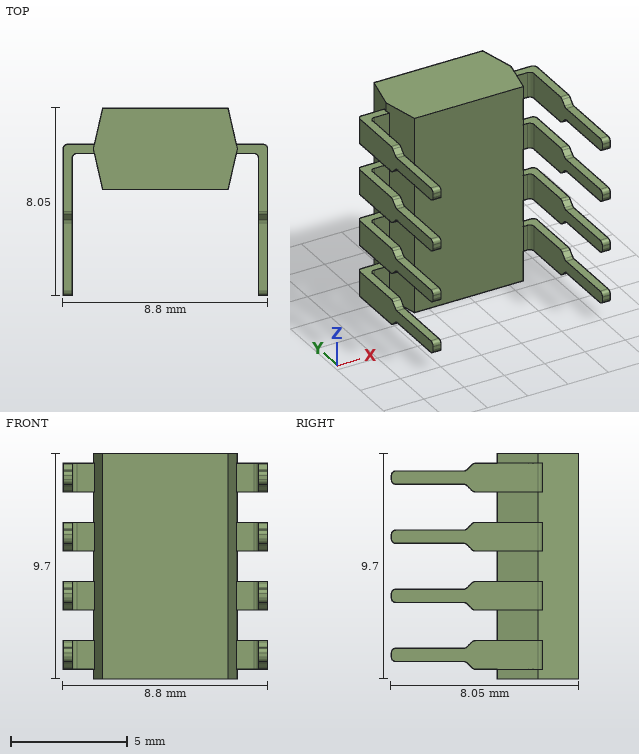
import cadquery as cq

body_length = 9.7
body_waist_width = 6.2
body_face_width = 5.4
body_depth = 3.5

leads_per_side = 4
lead_pitch = 2.54
lead_span = 8.8
lead_thickness = 0.4
lead_drop = 6.5
bend_radius = 0.2
shoulder_width = 1.24
pin_width = 0.58
pin_length = 3.2
edge_radius = 0.2
embed_depth = 0.5

lead_outer_x = lead_span / 2
lead_inner_x = lead_outer_x - lead_thickness
lead_root_x = body_waist_width / 2 - embed_depth
lead_top_y = lead_thickness / 2
lead_under_y = lead_top_y - lead_thickness
lead_tip_y = lead_top_y - lead_drop
taper_end_y = lead_tip_y + pin_length
taper_start_y = taper_end_y + (shoulder_width - pin_width) / 2


def make_body():
    half_depth = body_depth / 2
    half_face = body_face_width / 2
    half_waist = body_waist_width / 2
    section = [
        (-half_face, half_depth),
        (half_face, half_depth),
        (half_waist, 0),
        (half_face, -half_depth),
        (-half_face, -half_depth),
        (-half_waist, 0),
    ]
    return (
        cq.Workplane("XY")
        .polyline(section)
        .close()
        .extrude(body_length / 2, both=True)
    )


def make_bent_strip():
    """L-shaped strip on the +X side at full shoulder width, rounded inside and outside the bend."""
    section = [
        (lead_root_x, lead_top_y),
        (lead_outer_x, lead_top_y),
        (lead_outer_x, lead_tip_y),
        (lead_inner_x, lead_tip_y),
        (lead_inner_x, lead_under_y),
        (lead_root_x, lead_under_y),
    ]
    outer_corner = cq.selectors.NearestToPointSelector((lead_outer_x, lead_top_y, 0))
    inner_corner = cq.selectors.NearestToPointSelector((lead_inner_x, lead_under_y, 0))
    return (
        cq.Workplane("XY")
        .polyline(section)
        .close()
        .extrude(shoulder_width / 2, both=True)
        .edges(outer_corner)
        .fillet(bend_radius)
        .edges(inner_corner)
        .fillet(bend_radius)
    )


def make_lead_blank():
    """Flat outline of the lead in YZ: wide shoulder, 45 degree taper, narrow pin with a rounded tip."""
    half_shoulder = shoulder_width / 2
    half_pin = pin_width / 2
    outline = [
        (lead_top_y, -half_shoulder),
        (taper_start_y, -half_shoulder),
        (taper_end_y, -half_pin),
        (lead_tip_y, -half_pin),
        (lead_tip_y, half_pin),
        (taper_end_y, half_pin),
        (taper_start_y, half_shoulder),
        (lead_top_y, half_shoulder),
    ]
    return (
        cq.Workplane("YZ")
        .polyline(outline)
        .close()
        .extrude(lead_outer_x)
        .edges("|X and (not >Y)")
        .fillet(edge_radius)
    )


def add_leads(part):
    right_lead = make_bent_strip().intersect(make_lead_blank())
    left_lead = right_lead.mirror("YZ")
    first_z = -lead_pitch * (leads_per_side - 1) / 2
    for index in range(leads_per_side):
        offset = (0, 0, first_z + index * lead_pitch)
        part = part.union(right_lead.translate(offset))
        part = part.union(left_lead.translate(offset))
    return part


result = add_leads(make_body())